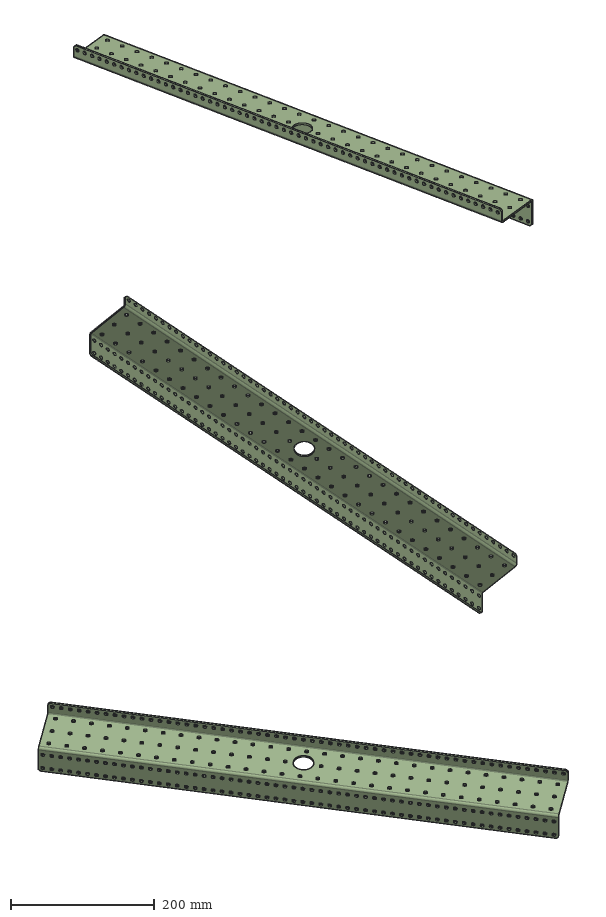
import cadquery as cq

length = 736.5
depth = 74.5
height = 63.0
thickness = 3.0
shelf_bottom = 41.0

inner_bend_radius = 1.0
outer_bend_radius = inner_bend_radius + thickness
corner_chamfer = 3.0

shelf_columns = 29
pitch = length / shelf_columns
flange_pitch = pitch / 2
flange_columns = 2 * shelf_columns
flange_edge_distance = pitch / 4
hole_diameter = 5.3

opening_diameter = 29.0
opening_forward_offset = 2.0

shelf_top = shelf_bottom + thickness
shelf_middle_y = depth / 2
opening_y = shelf_middle_y - opening_forward_offset
shelf_row_count = 3


def bent_sheet():
    """Z section: front flange up, flat shelf, rear flange down."""
    section = (
        cq.Workplane("YZ")
        .moveTo(0, shelf_bottom)
        .lineTo(depth - thickness, shelf_bottom)
        .lineTo(depth - thickness, 0)
        .lineTo(depth, 0)
        .lineTo(depth, shelf_top)
        .lineTo(thickness, shelf_top)
        .lineTo(thickness, height)
        .lineTo(0, height)
        .close()
    )
    sheet = section.extrude(length / 2, both=True)

    def bend_edge(y, z):
        return cq.selectors.NearestToPointSelector((0, y, z))

    sheet = sheet.edges(bend_edge(0, shelf_bottom)).fillet(outer_bend_radius)
    sheet = sheet.edges(bend_edge(depth, shelf_top)).fillet(outer_bend_radius)
    sheet = sheet.edges(bend_edge(thickness, shelf_top)).fillet(inner_bend_radius)
    sheet = sheet.edges(bend_edge(depth - thickness, shelf_bottom)).fillet(inner_bend_radius)

    return sheet.edges("|Y").edges(">Z or <Z").chamfer(corner_chamfer)


def shelf_holes():
    """Three rows of holes through the shelf; the opening replaces the central one."""
    holes = (
        cq.Workplane("XY")
        .center(0, shelf_middle_y)
        .rarray(pitch, pitch, shelf_columns, shelf_row_count)
        .circle(hole_diameter / 2)
        .extrude(height)
    )
    opening = cq.Workplane("XY").center(0, opening_y).circle(opening_diameter / 2).extrude(height)
    return holes.union(opening)


def flange_hole_row(y, z):
    """One row of holes along the length, through the flange whose front face is at y."""
    return (
        cq.Workplane("XZ", origin=(0, y, z))
        .rarray(flange_pitch, 7, flange_columns, 1)
        .circle(hole_diameter / 2)
        .extrude(-thickness)
    )


result = bent_sheet().cut(shelf_holes())
result = result.cut(flange_hole_row(0, height - flange_edge_distance))
for rear_row_z in (flange_edge_distance, flange_edge_distance + pitch):
    result = result.cut(flange_hole_row(depth - thickness, rear_row_z))